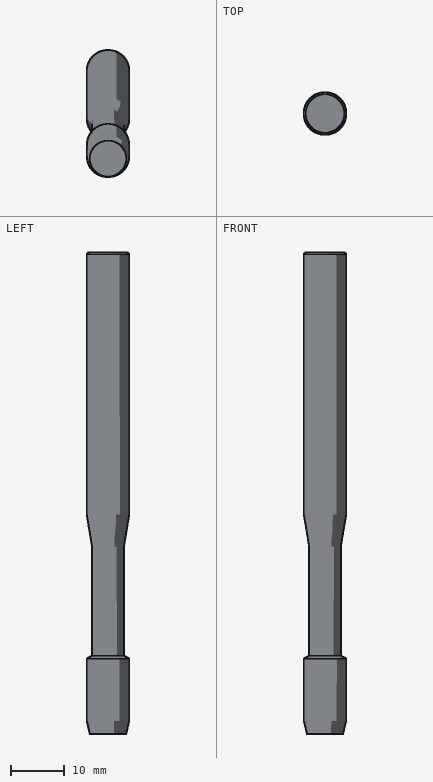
import cadquery as cq

overall_length = 90.0
shank_diameter = 8.0
neck_diameter = 6.0
head_diameter = 7.95
tip_diameter = 6.82

lead_length = 2.4
head_length = 14.65
shoulder_height = 0.55
neck_end = 35.0
taper_length = 6.0
end_chamfer = 0.4

shank_radius = shank_diameter / 2
neck_radius = neck_diameter / 2
head_radius = head_diameter / 2
tip_radius = tip_diameter / 2


def turned(outline):
    """Revolve a closed outline of (radius, height) points about the Z axis."""
    half_outline = [(-radius, height) for radius, height in outline]
    return cq.Workplane("YZ").polyline(half_outline).close().revolve(360, (0, 0, 0), (0, 1, 0))


head = turned([
    (0, 0),
    (tip_radius, 0),
    (head_radius, lead_length),
    (head_radius, head_length - shoulder_height),
    (neck_radius, head_length),
    (0, head_length),
])

shank = turned([
    (0, head_length),
    (neck_radius, head_length),
    (neck_radius, neck_end),
    (shank_radius, neck_end + taper_length),
    (shank_radius, overall_length - end_chamfer),
    (shank_radius - end_chamfer, overall_length),
    (0, overall_length),
])

result = cq.Compound.makeCompound([head.val(), shank.val()])